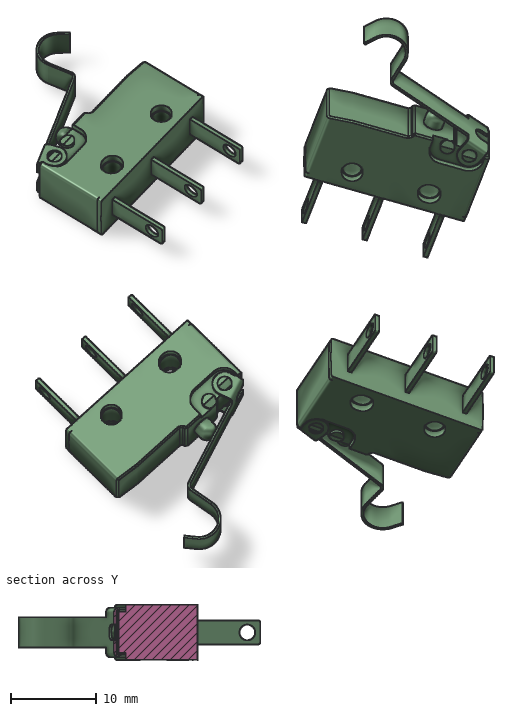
import cadquery as cq
import math


HOUSING_LENGTH = 19.9
HOUSING_THICKNESS = 6.5
HALF_LENGTH = HOUSING_LENGTH / 2
HALF_THICKNESS = HOUSING_THICKNESS / 2

FRONT_X = -9.03
TAPER_X = -8.75
TAPER_START_Y = 6.9
LAND_X = -9.68
LAND_TOP_Y = -0.4
LAND_BOTTOM_Y = -5.52
LAND_TOP_RISE = 0.25
LAND_BOTTOM_RISE = 0.17
PIVOT_FACE_X = -9.23

RIM_DEPTH = 0.57
RIM_EDGE_RADIUS = 0.23
RIM_DRAFT = 0.08
END_EDGE_RADIUS = 0.45
FRONT_CHAMFER = 0.2
TOLERANCE = 0.003

HOLE_X = -2.32
HOLE_Y = 4.75
HOLE_RADIUS = 1.13
HOLE_MOUTH_RADIUS = 1.25
HOLE_MOUTH_DEPTH = 1.02
SLOT_EXTRA_LENGTH = 0.23

RECESS_TOP_Y = -2.8
RECESS_BOTTOM_Y = -9.35
RECESS_BACK_X = -6.75
RECESS_RADIUS = 1.73
RECESS_DEPTH = 0.82
RECESS_FLOOR_Z = HALF_THICKNESS - RECESS_DEPTH

PIN_RADIUS = 0.85
PIN_TOP_Z = 2.9
PIN_SLOPE_LENGTH = 0.85
PIN_SLOPE_DROP = 0.28
PIVOT_X = -8.6
PIVOT_Y = -7.62
SPARE_PIN_X = -8.9
SPARE_PIN_Y = -4.8

PLUNGER_RADIUS = 1.15
PLUNGER_Y = -2.77
PLUNGER_DOME_X = -10.67

TERMINAL_PITCH = 7.5
TERMINAL_LENGTH = 7.35
TERMINAL_ROOT = 0.28
TERMINAL_WIDTH = 2.83
TERMINAL_THICKNESS = 0.5
TERMINAL_CORNER = 0.25
TERMINAL_HOLE_X = 5.83
TERMINAL_HOLE_RADIUS = 0.9

LEVER_TILT = 20.0
LEVER_WIDTH = 3.57
SHEET = 0.28
LEVER_FACE_OFFSET = 1.73
EAR_HALF_WIDTH = 1.45
EAR_OUTER_Z = 2.92
EAR_BEND_RADIUS = 0.57
EAR_HOLE_RADIUS = PIN_RADIUS
NOTCH_RADIUS = 0.93
NOTCH_DEPTH = 1.85

ARM_LENGTH = 12.55
ELBOW_RADIUS = 0.65
ELBOW_TURN = 80.0
LINK_LENGTH = 2.92
HOOK_RADIUS = 2.4
HOOK_TURN = -150.0
TIP_LENGTH = 1.5


def housing_block():
    """Block in front of the rim with its four long edges rounded."""
    return (
        cq.Workplane("YZ", origin=(LAND_X, 0, 0))
        .rect(HOUSING_LENGTH, HOUSING_THICKNESS)
        .extrude(-RIM_DEPTH - LAND_X)
        .edges("|X")
        .fillet(END_EDGE_RADIUS)
    )


def make_rim():
    """Strip along the terminal face; its end faces slope back on both sides of Z = 0."""
    side_half_length = HALF_LENGTH - RIM_DRAFT
    outline = [
        (HALF_LENGTH, 0),
        (side_half_length, HALF_THICKNESS),
        (-side_half_length, HALF_THICKNESS),
        (-HALF_LENGTH, 0),
        (-side_half_length, -HALF_THICKNESS),
        (side_half_length, -HALF_THICKNESS),
    ]
    return (
        cq.Workplane("YZ", origin=(-RIM_DEPTH, 0, 0))
        .polyline(outline)
        .close()
        .extrude(RIM_DEPTH)
        .edges("|X and (>Z or <Z)")
        .fillet(RIM_EDGE_RADIUS)
    )


def housing_plan():
    """Prism with the stepped and tapered plan of the housing."""
    outline = [
        (0, -HALF_LENGTH),
        (PIVOT_FACE_X, -HALF_LENGTH),
        (PIVOT_FACE_X, LAND_BOTTOM_Y - LAND_BOTTOM_RISE),
        (LAND_X, LAND_BOTTOM_Y),
        (LAND_X, LAND_TOP_Y),
        (FRONT_X, LAND_TOP_Y + LAND_TOP_RISE),
        (FRONT_X, TAPER_START_Y),
        (TAPER_X, HALF_LENGTH),
        (0, HALF_LENGTH),
    ]
    return cq.Workplane("XY").polyline(outline).close().extrude(HALF_THICKNESS, both=True)


def is_front_rim(edge):
    """True for the outer edges of the front faces, on the +/-Z and +/-Y sides."""
    box = edge.BoundingBox()
    on_side = min(abs(box.zmin), abs(box.zmax)) > HALF_THICKNESS - END_EDGE_RADIUS - TOLERANCE
    on_end = min(abs(box.ymin), abs(box.ymax)) > HALF_LENGTH - END_EDGE_RADIUS - TOLERANCE
    on_front = box.xmax < TAPER_X + END_EDGE_RADIUS
    return on_front and (on_side or on_end)


def make_housing():
    """Plain housing block, without its holes and recesses."""
    front = housing_block().intersect(housing_plan())
    rim_edges = [edge for edge in front.edges().vals() if is_front_rim(edge)]
    front = front.newObject(rim_edges).chamfer(FRONT_CHAMFER)
    return front.union(make_rim())


def mounting_hole(y, stretch):
    """Cutter for a through hole that is wider at both mouths."""

    def round_cutter(radius, z, height):
        plane = cq.Workplane("XY", origin=(HOLE_X, y, z))
        if stretch:
            return plane.slot2D(2 * radius + stretch, 2 * radius, 90).extrude(height)
        return plane.circle(radius).extrude(height)

    cutter = round_cutter(HOLE_RADIUS, -HALF_THICKNESS, HOUSING_THICKNESS)
    for z in (-HALF_THICKNESS, HALF_THICKNESS - HOLE_MOUTH_DEPTH):
        cutter = cutter.union(round_cutter(HOLE_MOUTH_RADIUS, z, HOLE_MOUTH_DEPTH))
    return cutter


def both_sides(upper):
    """The upper body together with its mirror image below Z = 0."""
    return upper.union(upper.mirror("XY"))


def make_recesses():
    """Cutters for the two pockets that hold the pins; they run past the front of the housing."""
    length = RECESS_BACK_X - LAND_X + RECESS_RADIUS
    upper = (
        cq.Workplane("XY", origin=(RECESS_BACK_X, RECESS_BOTTOM_Y, RECESS_FLOOR_Z))
        .rect(-length, RECESS_TOP_Y - RECESS_BOTTOM_Y, centered=False)
        .extrude(RECESS_DEPTH)
        .edges("|Z and >X")
        .fillet(RECESS_RADIUS)
    )
    return both_sides(upper)


def pivot_pin(x, y, face_x):
    """Pin standing on the upper recess floor, ramped and cut flush with the front face."""
    pin = (
        cq.Workplane("XY", origin=(x, y, RECESS_FLOOR_Z))
        .circle(PIN_RADIUS)
        .extrude(PIN_TOP_Z - RECESS_FLOOR_Z)
    )
    ramp_start_x = face_x + PIN_SLOPE_LENGTH
    side_profile = [
        (face_x, 0),
        (face_x, PIN_TOP_Z - PIN_SLOPE_DROP),
        (ramp_start_x, PIN_TOP_Z),
        (x + PIN_RADIUS, PIN_TOP_Z),
        (x + PIN_RADIUS, 0),
    ]
    keep = (
        cq.Workplane("XZ", origin=(0, y, 0))
        .polyline(side_profile)
        .close()
        .extrude(PIN_RADIUS, both=True)
    )
    return pin.intersect(keep)


def make_plunger():
    """Round plunger with a hemispherical tip."""
    shaft = (
        cq.Workplane("YZ", origin=(PLUNGER_DOME_X, PLUNGER_Y, 0))
        .circle(PLUNGER_RADIUS)
        .extrude(FRONT_X - PLUNGER_DOME_X)
    )
    dome = cq.Workplane("XY").sphere(PLUNGER_RADIUS).translate((PLUNGER_DOME_X, PLUNGER_Y, 0))
    return shaft.union(dome)


def make_terminal(y):
    """Flat terminal with rounded tip corners and a wire hole."""
    return (
        cq.Workplane("XZ", origin=(0, y, 0))
        .center((TERMINAL_LENGTH - TERMINAL_ROOT) / 2, 0)
        .rect(TERMINAL_LENGTH + TERMINAL_ROOT, TERMINAL_WIDTH)
        .extrude(TERMINAL_THICKNESS / 2, both=True)
        .edges("|Y and >X")
        .fillet(TERMINAL_CORNER)
        .cut(
            cq.Workplane("XZ", origin=(TERMINAL_HOLE_X, y, 0))
            .circle(TERMINAL_HOLE_RADIUS)
            .extrude(TERMINAL_THICKNESS, both=True)
        )
    )




def unit(angle):
    """Direction in the XY plane at an angle in degrees from +X."""
    return cq.Vector(math.cos(math.radians(angle)), math.sin(math.radians(angle)))


def make_arm():
    """Arm, elbow, link, hook and tip: a constant strip swept along its mid line."""
    start_y = -EAR_HALF_WIDTH
    position = cq.Vector(SHEET / 2 - LEVER_FACE_OFFSET, start_y)
    heading = 90.0
    path = cq.Workplane("XY").moveTo(position.x, position.y)

    def go_straight(length):
        nonlocal path, position
        position = position + unit(heading) * length
        path = path.lineTo(position.x, position.y)

    def bend(radius, turn):
        """Arc that turns left for a positive angle and right for a negative one."""
        nonlocal path, position, heading
        side = math.copysign(90, turn)
        center = position + unit(heading + side) * radius
        middle = center + unit(heading - side + turn / 2) * radius
        position = center + unit(heading - side + turn) * radius
        heading += turn
        path = path.threePointArc((middle.x, middle.y), (position.x, position.y))

    go_straight(ARM_LENGTH - start_y)
    bend(ELBOW_RADIUS, ELBOW_TURN)
    go_straight(LINK_LENGTH)
    bend(HOOK_RADIUS, HOOK_TURN)
    go_straight(TIP_LENGTH)
    return (
        cq.Workplane("XZ", origin=(SHEET / 2 - LEVER_FACE_OFFSET, start_y, 0))
        .rect(SHEET, LEVER_WIDTH)
        .sweep(path)
    )


def make_bracket():
    """U-shaped foot of the lever with one pierced ear on each side of the housing."""
    shell = (
        cq.Workplane("XY")
        .moveTo(-LEVER_FACE_OFFSET, -EAR_HALF_WIDTH)
        .lineTo(0, -EAR_HALF_WIDTH)
        .threePointArc((EAR_HALF_WIDTH, 0), (0, EAR_HALF_WIDTH))
        .lineTo(-LEVER_FACE_OFFSET, EAR_HALF_WIDTH)
        .close()
        .extrude(EAR_OUTER_Z, both=True)
        .edges("|Y")
        .fillet(EAR_BEND_RADIUS)
    )
    reach = LEVER_FACE_OFFSET + EAR_HALF_WIDTH
    inside = (
        cq.Workplane("XY", origin=(SHEET - LEVER_FACE_OFFSET + reach / 2, 0, 0))
        .box(reach, 2 * EAR_HALF_WIDTH, 2 * (EAR_OUTER_Z - SHEET))
        .edges("|Y and <X")
        .fillet(EAR_BEND_RADIUS - SHEET)
    )
    ear_holes = cq.Workplane("XY").circle(EAR_HOLE_RADIUS).extrude(EAR_OUTER_Z, both=True)
    return shell.cut(inside).cut(ear_holes)


def make_notch():
    """Cutter for the round-ended notch in the bottom edge of the foot."""
    return (
        cq.Workplane("YZ", origin=(-LEVER_FACE_OFFSET, -EAR_HALF_WIDTH, 0))
        .slot2D(2 * NOTCH_DEPTH, 2 * NOTCH_RADIUS)
        .extrude(SHEET)
    )


def make_lever():
    """Complete lever, tilted about the pivot."""
    lever = make_arm().union(make_bracket()).cut(make_notch())
    return lever.rotate((0, 0, 0), (0, 0, 1), LEVER_TILT).translate((PIVOT_X, PIVOT_Y, 0))


pins = pivot_pin(PIVOT_X, PIVOT_Y, PIVOT_FACE_X).union(pivot_pin(SPARE_PIN_X, SPARE_PIN_Y, LAND_X))

result = (
    make_housing()
    .cut(mounting_hole(HOLE_Y, 0))
    .cut(mounting_hole(-HOLE_Y, SLOT_EXTRA_LENGTH))
    .cut(make_recesses())
    .union(both_sides(pins))
    .union(make_plunger())
    .union(make_lever())
)
for row in (-1, 0, 1):
    result = result.union(make_terminal(row * TERMINAL_PITCH))